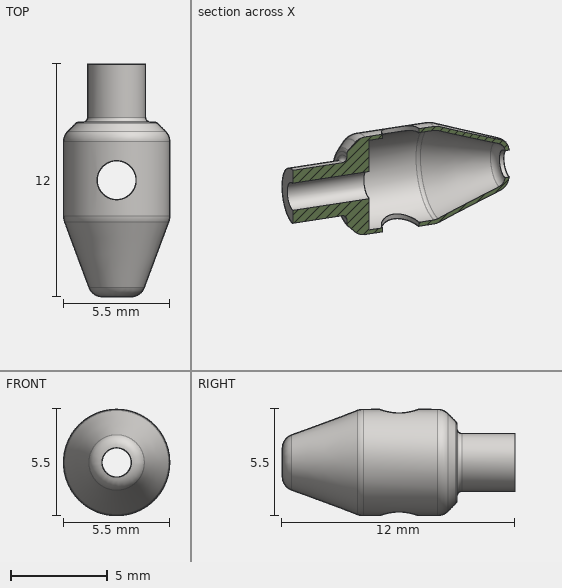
import cadquery as cq
import math


body_radius = 2.75
body_back_y = 3.0
back_chamfer = 0.7
back_face_round = 0.25
back_body_round = 0.75

shoulder_y = -2.0
tip_y = -6.03
tip_radius = 1.25
shoulder_round = 0.9
tip_round = 0.75

stem_radius = 1.5
stem_end_y = 6.0
stem_fillet = 0.25

wall = 0.25
cavity_end_y = 1.75
bore_radius = 0.75
cross_hole_radius = 1.0

cone_angle = math.atan2(body_radius - tip_radius, shoulder_y - tip_y)


def direction(start, end):
    """Unit vector from start to end."""
    length = math.dist(start, end)
    return ((end[0] - start[0]) / length, (end[1] - start[1]) / length)


def shifted(point, heading, distance):
    """Point moved a distance along a unit heading."""
    return (point[0] + heading[0] * distance, point[1] + heading[1] * distance)


def turned(corners):
    """Revolve (radius, y, rounding radius) corners about the Y axis; a rounding of 0 is sharp."""
    points = [(radius, y) for radius, y, _ in corners]
    outline = cq.Workplane("XY").moveTo(*points[0])
    for index in range(1, len(corners)):
        corner = points[index]
        rounding = corners[index][2]
        if rounding == 0:
            outline = outline.lineTo(*corner)
            continue
        back = direction(corner, points[index - 1])
        ahead = direction(corner, points[index + 1])
        half_angle = math.acos(back[0] * ahead[0] + back[1] * ahead[1]) / 2
        tangent_length = rounding / math.tan(half_angle)
        arc_depth = rounding / math.sin(half_angle) - rounding
        bisector = direction((0, 0), (back[0] + ahead[0], back[1] + ahead[1]))
        outline = outline.lineTo(*shifted(corner, back, tangent_length))
        outline = outline.threePointArc(
            shifted(corner, bisector, arc_depth),
            shifted(corner, ahead, tangent_length),
        )
    return outline.close().revolve(360, (0, 0, 0), (0, 1, 0))


def outer_body():
    """Solid stem, chamfered body and rounded nose cone."""
    return turned([
        (0, tip_y, 0),
        (tip_radius, tip_y, tip_round),
        (body_radius, shoulder_y, shoulder_round),
        (body_radius, body_back_y - back_chamfer, back_body_round),
        (body_radius - back_chamfer, body_back_y, back_face_round),
        (stem_radius, body_back_y, stem_fillet),
        (stem_radius, stem_end_y, 0),
        (0, stem_end_y, 0),
    ])


def cavity():
    """Interior following the body and nose at a constant wall thickness."""
    tip_shift = wall * math.tan((math.pi / 2 - cone_angle) / 2)
    shoulder_shift = wall * math.tan(cone_angle / 2)
    return turned([
        (0, tip_y + wall, 0),
        (tip_radius - tip_shift, tip_y + wall, tip_round - wall),
        (body_radius - wall, shoulder_y + shoulder_shift, shoulder_round - wall),
        (body_radius - wall, cavity_end_y, 0),
        (0, cavity_end_y, 0),
    ])


def axial_bore():
    """Hole through the nose and the stem."""
    return turned([
        (0, tip_y, 0),
        (bore_radius, tip_y, 0),
        (bore_radius, stem_end_y, 0),
        (0, stem_end_y, 0),
    ])


def cross_hole():
    """Hole along Z through both side walls."""
    return cq.Workplane("XY").circle(cross_hole_radius).extrude(body_radius, both=True)


result = outer_body().cut(cavity()).cut(axial_bore()).cut(cross_hole())